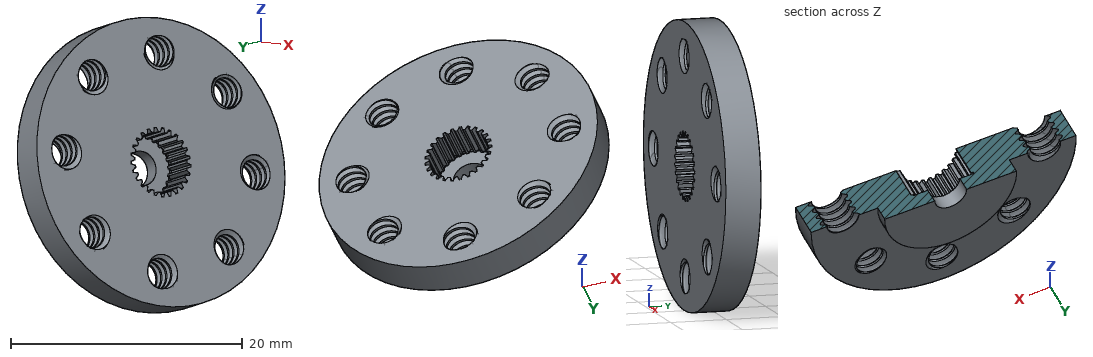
import cadquery as cq
import math


disc_diameter = 25.4
disc_thickness = 3.17
hub_diameter = 12.65
total_depth = 4.57

groove_count = 25
tip_radius = 3.05
root_radius = 2.67
groove_depth = 3.07
relief_diameter = 5.75
socket_depth = disc_thickness
tip_share = 0.26
root_share = 0.3
screw_hole_diameter = 3.02

hole_count = 8
hole_circle_radius = 9.8
bore_diameter = 2.7
thread_circle_diameter = 3.02
thread_offset = 0.24
thread_pitch = 0.79
thread_start_angle = 225.0
helix_start_angle = 90.0

axis_start = (0, 0, 0)
axis_direction = (0, 1, 0)


def cylinder(diameter, length):
    """Cylinder on the Y axis, reaching from y = 0 to y = length."""
    return cq.Workplane("XZ").circle(diameter / 2).extrude(-length)


def polar(radius, angle):
    """Point in the XZ plane at an angle in degrees, measured from +X towards +Z."""
    turn = math.radians(angle)
    return radius * math.cos(turn), radius * math.sin(turn)


def splined_socket():
    """Recess with straight-sided grooves, one of them along +X, and a round relief behind them."""
    groove_pitch = 360 / groove_count
    half_tip = tip_share * groove_pitch / 2
    half_root = root_share * groove_pitch / 2
    points = []
    for groove in range(groove_count):
        tip_angle = groove * groove_pitch
        root_angle = tip_angle + groove_pitch / 2
        points.append(polar(tip_radius, tip_angle - half_tip))
        points.append(polar(tip_radius, tip_angle + half_tip))
        points.append(polar(root_radius, root_angle - half_root))
        points.append(polar(root_radius, root_angle + half_root))
    grooves = cq.Workplane("XZ").polyline(points).close().extrude(-groove_depth)
    relief_depth = socket_depth - groove_depth
    relief = cylinder(relief_diameter, relief_depth).translate((0, groove_depth, 0))
    return grooves.union(relief)


def threaded_hole():
    """Bore on the Y axis with a right-hand thread, cut by a circle carried along a helix."""
    helix = cq.Wire.makeHelix(
        thread_pitch, disc_thickness, thread_offset, dir=cq.Vector(axis_direction)
    )
    thread = (
        cq.Workplane("XZ", origin=helix.startPoint().toTuple())
        .circle(thread_circle_diameter / 2)
        .sweep(cq.Workplane(helix), normal=axis_direction)
    )
    hole = thread.union(cylinder(bore_diameter, disc_thickness))
    return hole.rotate(axis_start, axis_direction, helix_start_angle - thread_start_angle)


result = cylinder(disc_diameter, disc_thickness)
result = result.union(cylinder(hub_diameter, total_depth))
result = result.cut(splined_socket())
result = result.cut(cylinder(screw_hole_diameter, total_depth))

top_hole = threaded_hole().translate((0, 0, hole_circle_radius))
for index in range(hole_count):
    result = result.cut(top_hole.rotate(axis_start, axis_direction, index * 360 / hole_count))